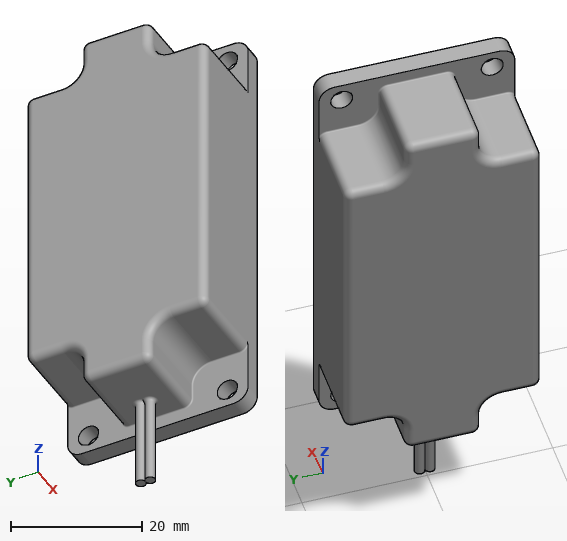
import cadquery as cq
import math

plate_width = 31.2
plate_height = 69.7
plate_thickness = 3.0
plate_corner_radius = 2.5

hole_diameter = 3.5
hole_spacing_y = 24.0
hole_spacing_z = 63.6

overall_depth = 16.7
housing_length = 65.4
shoulder_length = 50.8
neck_width = 11.9
notch_radius = 3.5
edge_radius = 1.3
foot_radius = 0.25

overall_height = 82.8
wire_diameter = 1.65
wire_overlap = 0.04
wire_distance_from_back = 6.95
flare_radius = 0.5

plate_front_x = -plate_thickness
housing_depth = overall_depth - plate_thickness
housing_bottom_z = -housing_length / 2
wire_spacing = wire_diameter - wire_overlap
cable_end_z = plate_height / 2 - overall_height


def rounded_block(width, length, depth, corner_radius, back_x=0):
    """Block centred in Y and Z, reaching from back_x toward -X, with its X edges rounded."""
    return (
        cq.Workplane("YZ", origin=(back_x, 0, 0))
        .rect(width, length)
        .extrude(-depth)
        .edges("|X")
        .fillet(corner_radius)
    )


def make_housing():
    """Shoulders crossed by a longer neck, with the inner corners and front rim rounded."""
    shoulders = rounded_block(plate_width, shoulder_length, housing_depth, edge_radius, plate_front_x)
    neck = rounded_block(neck_width, housing_length, housing_depth, edge_radius, plate_front_x)
    margin = 0.1
    half_y = neck_width / 2 + margin
    half_z = shoulder_length / 2 + margin
    inner_corners = cq.selectors.BoxSelector(
        (-overall_depth, -half_y, -half_z),
        (0, half_y, half_z),
    )
    return (
        shoulders.union(neck)
        .edges("|X")
        .edges(inner_corners)
        .fillet(notch_radius)
        .faces("<X")
        .edges()
        .fillet(edge_radius)
    )


def make_case():
    """Housing and plate, blended by a small fillet that is trimmed at the plate outline."""
    margin = 2 * foot_radius
    slab = (
        cq.Workplane("YZ")
        .rect(plate_width + 2 * margin, plate_height + 2 * margin)
        .extrude(-plate_thickness)
    )
    half_x = foot_radius / 2
    half_y = (plate_width + foot_radius) / 2
    half_z = (housing_length + foot_radius) / 2
    foot_edges = cq.selectors.BoxSelector(
        (plate_front_x - half_x, -half_y, -half_z),
        (plate_front_x + half_x, half_y, half_z),
    )
    blended = slab.union(make_housing()).edges(foot_edges).fillet(foot_radius)
    envelope = rounded_block(plate_width, plate_height, overall_depth, plate_corner_radius)
    return blended.intersect(envelope)


def make_holes():
    return (
        cq.Workplane("YZ")
        .rect(hole_spacing_y, hole_spacing_z, forConstruction=True)
        .vertices()
        .circle(hole_diameter / 2)
        .extrude(-plate_thickness)
    )


def make_wire(y):
    """Wire along Z with a concave flare where it leaves the housing."""
    radius = wire_diameter / 2
    arc_offset = flare_radius * (1 - math.sqrt(0.5))
    return (
        cq.Workplane("XZ", origin=(-wire_distance_from_back, y, 0))
        .moveTo(0, cable_end_z)
        .lineTo(radius, cable_end_z)
        .lineTo(radius, housing_bottom_z - flare_radius)
        .threePointArc(
            (radius + arc_offset, housing_bottom_z - arc_offset),
            (radius + flare_radius, housing_bottom_z),
        )
        .lineTo(0, housing_bottom_z)
        .close()
        .revolve(360, (0, 0), (0, 1))
    )


result = make_case().cut(make_holes())
for side in (-1, 1):
    result = result.union(make_wire(side * wire_spacing / 2))